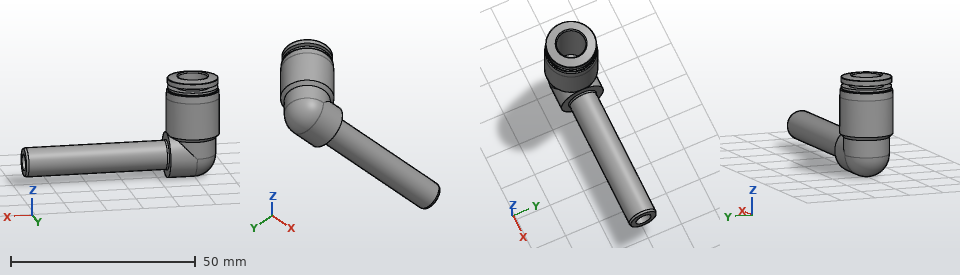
import cadquery as cq


elbow_radius = 12.5 / 2
body_radius = 14.5 / 2
arm_clearance = 0.025
arm_end_x = body_radius + arm_clearance
body_taper_top_radius = 14.25 / 2
shoulder_bottom_z = 4.75
shoulder_height = body_radius - elbow_radius
shoulder_top_z = shoulder_bottom_z + shoulder_height
taper_start_z = 15.85
body_top_z = 17.8

collar_radius = 13.7 / 2
collar_groove_radius = 13.4 / 2
collar_groove_top_z = 18.15
collar_top_z = 18.8
neck_radius = 9.4 / 2
neck_flare = 0.4
neck_flare_height = 0.5
button_radius = 13.8 / 2
button_bottom_z = 19.85
button_edge_z = 21.3
button_edge_chamfer = 0.135
button_top_z = 28.05 - elbow_radius

stem_radius = 8.0 / 2
stem_end_x = 53.95 - body_radius
stem_root_flare = 0.15
stem_root_length = 0.5
stem_tip_length = 0.65
stem_tip_inset = 0.2

socket_radius = 8.0 / 2
socket_floor_z = shoulder_top_z
socket_chamfer = 0.3
passage_radius = 4.5 / 2


def make_elbow():
    """Round corner joining the vertical neck and the horizontal arm."""
    corner = cq.Workplane("XY").sphere(elbow_radius)
    riser = cq.Workplane("XY").circle(elbow_radius).extrude(shoulder_top_z)
    arm = cq.Workplane("YZ").circle(elbow_radius).extrude(arm_end_x)
    return corner.union(riser).union(arm)


def make_socket():
    """Revolved socket body with collar, neck and release button."""
    mouth_radius = socket_radius + socket_chamfer
    profile = [
        (0, shoulder_bottom_z),
        (elbow_radius, shoulder_bottom_z),
        (body_radius, shoulder_top_z),
        (body_radius, taper_start_z),
        (body_taper_top_radius, body_top_z),
        (collar_groove_radius, body_top_z),
        (collar_groove_radius, collar_groove_top_z),
        (collar_radius, collar_groove_top_z),
        (collar_radius, collar_top_z),
        (neck_radius, collar_top_z),
        (neck_radius, button_bottom_z - neck_flare_height),
        (neck_radius + neck_flare, button_bottom_z),
        (button_radius, button_bottom_z),
        (button_radius, button_edge_z - button_edge_chamfer),
        (button_radius - button_edge_chamfer, button_edge_z),
        (mouth_radius, button_top_z),
        (0, button_top_z),
    ]
    return cq.Workplane("XZ").polyline(profile).close().revolve(360, (0, 0), (0, 1))


def make_stem():
    """Revolved stem with a slight root flare and a tapered tip."""
    profile = [
        (0, 0),
        (0, stem_radius + stem_root_flare),
        (arm_end_x, stem_radius + stem_root_flare),
        (arm_end_x + stem_root_length, stem_radius),
        (stem_end_x - stem_tip_length, stem_radius),
        (stem_end_x, stem_radius - stem_tip_inset),
        (stem_end_x, 0),
    ]
    return cq.Workplane("XZ").polyline(profile).close().revolve(360, (0, 0), (1, 0))


def make_bores():
    """Chamfered tube socket and the flow passage that turns into the stem."""
    socket_profile = [
        (0, socket_floor_z),
        (socket_radius, socket_floor_z),
        (socket_radius, button_top_z - socket_chamfer),
        (socket_radius + socket_chamfer, button_top_z),
        (0, button_top_z),
    ]
    socket = cq.Workplane("XZ").polyline(socket_profile).close().revolve(360, (0, 0), (0, 1))
    corner = cq.Workplane("XY").sphere(passage_radius)
    riser = cq.Workplane("XY").circle(passage_radius).extrude(socket_floor_z)
    stem_bore = cq.Workplane("YZ").circle(passage_radius).extrude(stem_end_x)
    return socket.union(corner).union(riser).union(stem_bore)


result = make_elbow().union(make_socket()).union(make_stem()).cut(make_bores())